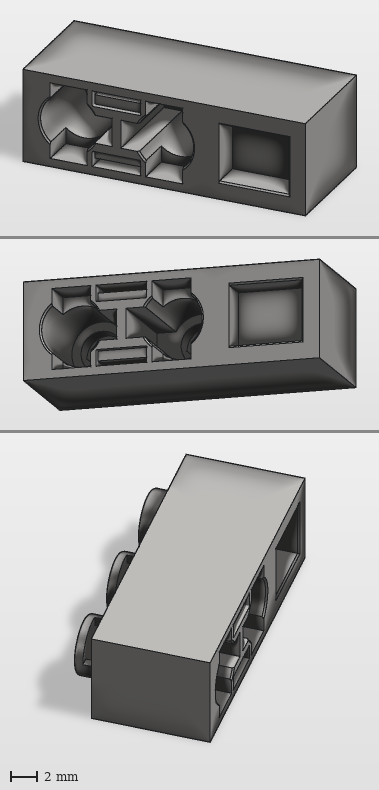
import cadquery as cq

length = 23.7
depth = 9.55
height = 7.8
overall_depth = 11.45

pitch = 8.0
left_stud_x = 3.85
middle_stud_x = left_stud_x + pitch
right_stud_x = middle_stud_x + pitch
stud_height = overall_depth - depth
solid_stud_radius = 2.46
hollow_stud_radius = 2.42
stud_edge_fillet = 0.3
window_height = 1.14
window_past_center = 0.57

bore_radius = 2.42
bore_depth = 8.0
bore_chamfer = 0.15
stud_bore_radius = 1.68

recess_width = 3.1
recess_height = 6.4
recess_depth = 2.92
channel_reach = 3.63
channel_height = 2.37

slot_length = 4.05
slot_inner_z = 1.9
slot_step_z = 2.68
slot_outer_z = recess_height / 2
slot_shelf_depth = 0.47
slot_corner_fillet = 0.12

pocket_left = 16.45
pocket_right = 22.25
pocket_height = 4.8
pocket_depth = 2.54
pocket_chamfer = 0.15


def box_between(x0, x1, y0, y1, z0, z1):
    """Box given by its limits along each axis."""
    return cq.Workplane("XY").box(x1 - x0, y1 - y0, z1 - z0, centered=False).translate((x0, y0, z0))


def rear_cylinder(x, radius, y0, y1):
    """Cylinder along Y from y0 to y1, centred on z = 0."""
    return cq.Workplane("XZ", origin=(x, y0, 0)).circle(radius).extrude(y0 - y1)


def stud(x, radius):
    """Stud with a rounded end edge."""
    return rear_cylinder(x, radius, depth, depth + stud_height).faces(">Y").edges().fillet(stud_edge_fillet)


def stud_windows(x):
    """Two side windows under the stud cap, half a turn apart."""
    top = depth + window_height
    reach = 2 * hollow_stud_radius
    upper_left = box_between(x - reach, x + window_past_center, depth, top, 0, reach)
    lower_right = box_between(x - window_past_center, x + reach, depth, top, -reach, 0)
    return upper_left.union(lower_right)


def bore_cavity(x, channel_side):
    """Stepped bore, tall shallow recess and channel; channel_side is +1 (right) or -1 (left)."""
    bore = rear_cylinder(x, bore_radius, 0, bore_depth)
    mouth = cq.Workplane(
        cq.Solid.makeCone(
            bore_radius + bore_chamfer, bore_radius, bore_chamfer, cq.Vector(x, 0, 0), cq.Vector(0, 1, 0)
        )
    )
    stud_bore = rear_cylinder(x, stud_bore_radius, 0, depth + window_height)
    recess = box_between(
        x - recess_width / 2, x + recess_width / 2, 0, recess_depth, -recess_height / 2, recess_height / 2
    )
    channel_end = x + channel_side * channel_reach
    channel = box_between(
        min(x, channel_end), max(x, channel_end), 0, bore_depth, -channel_height / 2, channel_height / 2
    )
    return bore.union(mouth).union(stud_bore).union(recess).union(channel)


def stepped_slot():
    """Slot above the web: a shallow shelf inside, a deeper strip outside."""
    center_x = (left_stud_x + middle_stud_x) / 2
    left = center_x - slot_length / 2
    right = center_x + slot_length / 2
    shelf = (
        box_between(left, right, 0, slot_shelf_depth, slot_inner_z, slot_outer_z)
        .edges("|Y and <Z").fillet(slot_corner_fillet)
    )
    return shelf.union(box_between(left, right, 0, recess_depth, slot_step_z, slot_outer_z))


def pocket():
    """Rectangular pocket widened at its mouth on the right, top and bottom."""
    half = pocket_height / 2
    mouth_half = half + pocket_chamfer
    mouth_right = pocket_right + pocket_chamfer
    main = box_between(pocket_left, pocket_right, 0, pocket_depth, -half, half)
    right_slope = (
        cq.Workplane("XY")
        .moveTo(pocket_left, 0)
        .lineTo(mouth_right, 0)
        .lineTo(pocket_right, pocket_chamfer)
        .lineTo(pocket_left, pocket_chamfer)
        .close()
        .extrude(mouth_half, both=True)
    )
    upper_lower_slopes = (
        cq.Workplane("YZ", origin=(pocket_left, 0, 0))
        .moveTo(0, -mouth_half)
        .lineTo(pocket_chamfer, -half)
        .lineTo(pocket_chamfer, half)
        .lineTo(0, mouth_half)
        .close()
        .extrude(mouth_right - pocket_left)
    )
    mouth = right_slope.intersect(upper_lower_slopes)
    return main.union(mouth)


result = box_between(0, length, 0, depth, -height / 2, height / 2)
for x in (left_stud_x, middle_stud_x):
    result = result.union(stud(x, hollow_stud_radius)).cut(stud_windows(x))
result = result.union(stud(right_stud_x, solid_stud_radius))

result = result.cut(bore_cavity(left_stud_x, 1)).cut(bore_cavity(middle_stud_x, -1))

upper_slot = stepped_slot()
result = result.cut(upper_slot).cut(upper_slot.mirror("XY"))
result = result.cut(pocket())